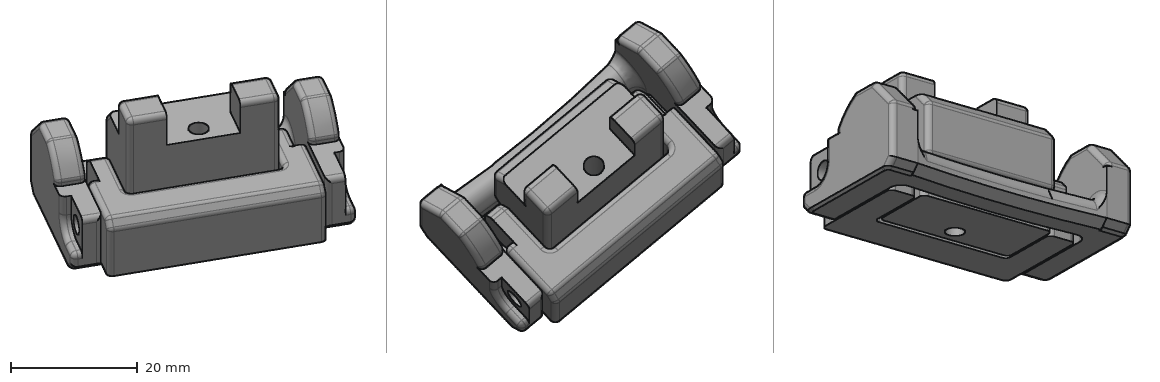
import cadquery as cq
import math

TOTAL_WIDTH = 46.6
HALF_WIDTH = TOTAL_WIDTH / 2
EDGE_RADIUS = 1.0
CORNER_CHAMFER = 1.5
STEP_TOP = 10.6
RECESS_RADIUS = 3.05
RECESS_DEPTH = 1.75
RECESS_Z = 7.05
HOLE_DIAMETER = 3.2
TOLERANCE = 0.005

PLATE_INNER_Y = 18.25
PLATE_THICKNESS = HALF_WIDTH - PLATE_INNER_Y
PLATE_LENGTH = 24.55
PLATE_TOP = 16.25
PLATE_SHOULDER = 11.2
HUMP_FRONT_X = PLATE_TOP - PLATE_SHOULDER
HUMP_CREST_X = 10.0
HUMP_REAR_X = 15.15
HUMP_REAR_Z = 11.6
HUMP_ARC_RISE = 0.45
BOTTOM_CHAMFER = 0.45
PLATE_RECESS_X = 21.0

BAR_WIDTH = 5.13
BAR_TOP = 5.0
BAR_BOW = 0.85
BAR_FLARE_RADIUS = 2.0
BOW_RADIUS = (PLATE_INNER_Y ** 2 + BAR_BOW ** 2) / (2 * BAR_BOW)
BOW_AXIS_X = BAR_BOW - BOW_RADIUS
BOW_HALF_ANGLE = math.degrees(math.asin(PLATE_INNER_Y / BOW_RADIUS))

BRACKET_HALF_WIDTH = 17.95
BRACKET_FRONT_X = 7.95
BRACKET_REAR_X = 26.55
SLOT_HALF_WIDTH = 12.8
SLOT_REAR_X = 19.45
SLOT_CORNER_RADIUS = 1.0
BRACKET_RECESS_X = 11.45

BLOCK_HALF_WIDTH = 12.5
BLOCK_FRONT_X = 5.5
BLOCK_REAR_X = 18.5
BLOCK_TOP = 17.75
BLOCK_CHAMFER = 2.0
OVERHANG_Z = 7.05
GROOVE_TOP = 5.82
GROOVE_RADIUS = 3.05
HORN_FRONT_X = 12.6
HORN_INNER_Y = 6.0
HORN_TOP = 23.7
BLOCK_HOLE_X = 15.55


def extrude_along_y(profile, y_start, y_end):
    """Extrude an XZ profile from y_start to y_end."""
    return profile.extrude(y_start - y_end).translate((0, y_start, 0))


def box_between(low, high):
    """Box with opposite corners low and high."""
    size = [b - a for a, b in zip(low, high)]
    return cq.Workplane("XY").box(*size, centered=False).translate(low)


def edges_where(body, condition):
    """Edges of a body whose middle and direction satisfy condition(middle, direction)."""
    chosen = [e for e in body.edges().vals() if condition(e.positionAt(0.5), e.tangentAt(0.5))]
    return body.newObject(chosen)


def near(value, target):
    """True if two lengths agree within the tolerance."""
    return abs(value - target) < TOLERANCE


def recess_profile(center_x, far_x, wall_side):
    """Quarter-round cornered recess, open upward and toward far_x."""
    wall_x = center_x + wall_side * RECESS_RADIUS
    floor_z = RECESS_Z - RECESS_RADIUS
    bend = RECESS_RADIUS * math.sqrt(0.5)
    return (
        cq.Workplane("XZ")
        .moveTo(wall_x, STEP_TOP)
        .lineTo(wall_x, RECESS_Z)
        .threePointArc((center_x + wall_side * bend, RECESS_Z - bend), (center_x, floor_z))
        .lineTo(far_x, floor_z)
        .lineTo(far_x, STEP_TOP)
        .close()
    )


def plate_base():
    """Part of the -Y side plate below the step, with the recess and hole at its rear."""
    outer_y = -HALF_WIDTH
    recess_floor_y = outer_y + RECESS_DEPTH
    profile = cq.Workplane("XZ").polyline([
        (CORNER_CHAMFER, 0),
        (PLATE_LENGTH - CORNER_CHAMFER, 0),
        (PLATE_LENGTH, CORNER_CHAMFER),
        (PLATE_LENGTH, STEP_TOP),
        (0, STEP_TOP),
        (0, CORNER_CHAMFER),
    ]).close()
    base = extrude_along_y(profile, outer_y, -PLATE_INNER_Y)
    recess = recess_profile(PLATE_RECESS_X, PLATE_LENGTH, -1)
    base = base.cut(extrude_along_y(recess, outer_y, recess_floor_y))

    def rounded(p, d):
        on_outer = near(p.y, outer_y) and TOLERANCE < p.z < STEP_TOP - TOLERANCE
        rear_inner = near(p.x, PLATE_LENGTH) and near(p.y, -PLATE_INNER_Y)
        rear_top = near(p.x, PLATE_LENGTH) and near(p.z, STEP_TOP)
        recess_end = near(p.x, PLATE_LENGTH) and near(p.z, RECESS_Z - RECESS_RADIUS)
        return on_outer or rear_inner or rear_top or recess_end

    base = edges_where(base, rounded).fillet(EDGE_RADIUS)
    bottom_outer = edges_where(base, lambda p, d: near(p.z, 0) and near(p.y, outer_y))
    base = bottom_outer.chamfer(BOTTOM_CHAMFER)
    hole = cq.Workplane("XZ").center(PLATE_RECESS_X, RECESS_Z).circle(HOLE_DIAMETER / 2)
    return base.cut(extrude_along_y(hole, outer_y, -PLATE_INNER_Y))


def plate_hump():
    """Raised front part of the -Y side plate above the step."""
    chord_x = HUMP_REAR_X - HUMP_CREST_X
    chord_z = PLATE_TOP - HUMP_REAR_Z
    chord = math.hypot(chord_x, chord_z)
    arc_middle = (
        HUMP_CREST_X + chord_x / 2 + HUMP_ARC_RISE * chord_z / chord,
        HUMP_REAR_Z + chord_z / 2 + HUMP_ARC_RISE * chord_x / chord,
    )
    profile = (
        cq.Workplane("XZ")
        .moveTo(0, STEP_TOP)
        .lineTo(0, PLATE_SHOULDER)
        .lineTo(HUMP_FRONT_X, PLATE_TOP)
        .lineTo(HUMP_CREST_X, PLATE_TOP)
        .threePointArc(arc_middle, (HUMP_REAR_X, HUMP_REAR_Z))
        .lineTo(HUMP_REAR_X, STEP_TOP)
        .close()
    )
    hump = extrude_along_y(profile, -HALF_WIDTH, -PLATE_INNER_Y)

    def rounded(p, d):
        on_side = near(p.y, -HALF_WIDTH) or near(p.y, -PLATE_INNER_Y)
        return on_side and p.z > STEP_TOP + TOLERANCE

    corners = edges_where(hump, lambda p, d: abs(d.y) > 0.45 - TOLERANCE and p.z > STEP_TOP + TOLERANCE)
    return edges_where(corners.fillet(EDGE_RADIUS), rounded).fillet(EDGE_RADIUS)


def bowed(profile):
    """Revolve an XZ profile about the far vertical axis of the crossbar's bow."""
    turned = profile.revolve(2 * BOW_HALF_ANGLE, (BOW_AXIS_X, 0), (BOW_AXIS_X, 1))
    return turned.rotate((BOW_AXIS_X, 0, 0), (BOW_AXIS_X, 0, 1), -BOW_HALF_ANGLE)


def crossbar():
    """Round-topped bar, flared where it meets the plates, with a bowed front."""
    front_x = BAR_BOW
    back_x = front_x + BAR_WIDTH
    round_radius = BAR_WIDTH / 2
    round_z = BAR_TOP - round_radius
    bar = bowed(
        cq.Workplane("XZ").moveTo(front_x, 0)
        .lineTo(front_x, round_z)
        .threePointArc((front_x + round_radius, BAR_TOP), (back_x, round_z))
        .lineTo(back_x, 0)
        .close()
    )
    reach = 2 * BAR_FLARE_RADIUS
    for side in (-1, 1):
        slab = cq.Workplane("XY").box(
            BAR_WIDTH + 2 * reach, PLATE_THICKNESS, BAR_TOP + reach, centered=(True, True, False)
        )
        slab_y = side * (PLATE_INNER_Y + PLATE_THICKNESS / 2)
        bar = bar.union(slab.translate((BAR_WIDTH / 2, slab_y, 0)))

    def meets_slab(p, d):
        inside = -TOLERANCE < p.x < BAR_WIDTH + BAR_BOW
        return near(abs(p.y), PLATE_INNER_Y) and inside and TOLERANCE < p.z < BAR_TOP + TOLERANCE

    bar = edges_where(bar, meets_slab).fillet(BAR_FLARE_RADIUS)
    keep = bowed(cq.Workplane("XZ").polyline([
        (front_x + CORNER_CHAMFER, 0),
        (back_x + reach, 0),
        (back_x + reach, BAR_TOP + reach),
        (front_x, BAR_TOP + reach),
        (front_x, CORNER_CHAMFER),
    ]).close())
    between_plates = box_between(
        (0, -PLATE_INNER_Y, 0), (BAR_WIDTH + reach, PLATE_INNER_Y, BAR_TOP + reach)
    )
    return bar.intersect(keep).intersect(between_plates)


def make_frame():
    """Two mirrored side plates joined by the crossbar."""
    plate = plate_base().union(plate_hump())
    return crossbar().union(plate).union(plate.mirror("XZ"))


def make_bracket():
    """U-shaped body whose two arms reach forward beside the block."""
    shoulder_z = STEP_TOP - CORNER_CHAMFER
    recess_floor_y = BRACKET_HALF_WIDTH - RECESS_DEPTH
    profile = cq.Workplane("XZ").polyline([
        (BRACKET_FRONT_X, 0),
        (BRACKET_REAR_X, 0),
        (BRACKET_REAR_X, shoulder_z),
        (BRACKET_REAR_X - CORNER_CHAMFER, STEP_TOP),
        (BRACKET_FRONT_X + CORNER_CHAMFER, STEP_TOP),
        (BRACKET_FRONT_X, shoulder_z),
    ]).close()
    bracket = extrude_along_y(profile, -BRACKET_HALF_WIDTH, BRACKET_HALF_WIDTH)

    slot = box_between(
        (0, -SLOT_HALF_WIDTH, 0), (SLOT_REAR_X, SLOT_HALF_WIDTH, STEP_TOP)
    ).edges("|Z and >X").fillet(SLOT_CORNER_RADIUS)
    bracket = bracket.cut(slot)

    recess = extrude_along_y(
        recess_profile(BRACKET_RECESS_X, 0, 1), recess_floor_y, BRACKET_HALF_WIDTH
    )
    bracket = bracket.cut(recess).cut(recess.mirror("XZ"))
    wall_x = BRACKET_RECESS_X + RECESS_RADIUS
    ledge_z = RECESS_Z - RECESS_RADIUS

    def rounded(p, d):
        if p.z < TOLERANCE:
            return False
        along_y = abs(d.y) > 0.45 - TOLERANCE
        on_ledge = near(p.z, ledge_z)
        at_wall = near(p.x, wall_x)
        if along_y and (on_ledge or at_wall):
            at_rim = near(p.x, BRACKET_FRONT_X) or near(p.z, STEP_TOP)
            return at_rim and p.y < 0
        if along_y or near(p.y, -BRACKET_HALF_WIDTH) or near(abs(p.y), SLOT_HALF_WIDTH):
            return True
        if near(p.y, BRACKET_HALF_WIDTH):
            return p.x > wall_x + TOLERANCE or near(p.x, BRACKET_FRONT_X)
        if near(p.y, recess_floor_y):
            return p.z > ledge_z + TOLERANCE and (p.x < BRACKET_RECESS_X or near(p.z, STEP_TOP))
        return False

    return edges_where(bracket, rounded).fillet(EDGE_RADIUS)


def make_block():
    """Centre block with an undercut groove behind the crossbar and two horns on top."""
    foot_x = BLOCK_FRONT_X + OVERHANG_Z - GROOVE_TOP
    half_chord = GROOVE_RADIUS * math.sqrt(0.5)
    groove_depth = GROOVE_RADIUS - half_chord
    profile = (
        cq.Workplane("XZ").moveTo(foot_x, 0)
        .lineTo(BLOCK_REAR_X, 0)
        .lineTo(BLOCK_REAR_X, BLOCK_TOP)
        .lineTo(BLOCK_FRONT_X + BLOCK_CHAMFER, BLOCK_TOP)
        .lineTo(BLOCK_FRONT_X, BLOCK_TOP - BLOCK_CHAMFER)
        .lineTo(BLOCK_FRONT_X, OVERHANG_Z)
        .lineTo(foot_x, GROOVE_TOP)
        .threePointArc(
            (foot_x + groove_depth, GROOVE_TOP - half_chord), (foot_x, GROOVE_TOP - 2 * half_chord)
        )
        .close()
    )
    block = extrude_along_y(profile, -BLOCK_HALF_WIDTH, BLOCK_HALF_WIDTH)

    def rounded(p, d):
        on_side = near(abs(p.y), BLOCK_HALF_WIDTH) and TOLERANCE < p.z < BLOCK_TOP - TOLERANCE
        front_corner = near(p.x, BLOCK_FRONT_X) and near(p.y, 0)
        return on_side or front_corner

    block = edges_where(block, rounded).fillet(EDGE_RADIUS)

    horn = box_between(
        (HORN_FRONT_X, HORN_INNER_Y, BLOCK_TOP), (BLOCK_REAR_X, BLOCK_HALF_WIDTH, HORN_TOP)
    )
    horn = edges_where(
        horn, lambda p, d: p.z > BLOCK_TOP + TOLERANCE and p.y > HORN_INNER_Y + TOLERANCE
    ).fillet(EDGE_RADIUS)
    block = block.union(horn).union(horn.mirror("XZ"))

    hole = cq.Workplane("XY").center(BLOCK_HOLE_X, 0).circle(HOLE_DIAMETER / 2).extrude(BLOCK_TOP)
    return block.cut(hole)


frame = make_frame().solids()
bracket = make_bracket().solids()
block = make_block().solids()

result = cq.Compound.makeCompound([frame.val(), bracket.val(), block.val()])